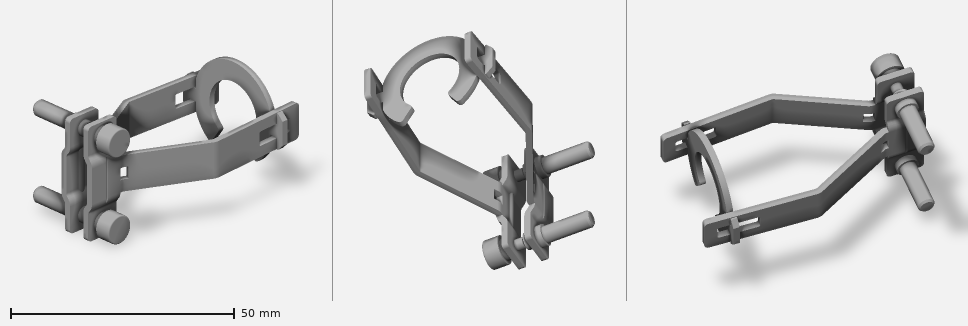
import cadquery as cq
import math

SHEET = 1.55
BEND_INNER = 1.0
BEND_MID = BEND_INNER + SHEET / 2
CORNER = 1.0

JAW_WIDTH = 8.95
JAW_HEIGHT = 28.65
JAW_MID_X = 2.9
JAW_FRONT = -JAW_WIDTH / 2
JAW_BACK = JAW_WIDTH / 2
JAW_INNER = JAW_MID_X - SHEET / 2
JAW_OUTER = JAW_MID_X + SHEET / 2

JOGGLE_ANGLE = 38
JOGGLE_OFFSET = 1.2
WEB_MID_X = JAW_MID_X + JOGGLE_OFFSET
WEB_INNER = JAW_INNER + JOGGLE_OFFSET
WEB_OUTER = JAW_OUTER + JOGGLE_OFFSET

TOTAL_LENGTH = 56.7
ARM_TIP = JAW_FRONT + TOTAL_LENGTH
ARM_HEIGHT = 9.1
FLARE_ANGLE = 27
FLARE_START = 5.05
FLARE_LENGTH = 21.1
TOE_ANGLE = 3

SLOT_LENGTH = 10.15
SLOT_HEIGHT = 3.65
SLOT_CENTRE_X = 13.05
SLOT_CENTRE_Y = 44.1
SLOT_CORNER = 0.5

WINDOW_HEIGHT = 3.0
WINDOW_PAST_BEND = 1.1

BEAD_Y = 0.3
BEAD_LENGTH = ARM_HEIGHT + 2.85
RIDGE_WIDTH = 1.7
RIDGE_RISE = 0.5
GROOVE_RADIUS = 0.3

RING_OUTER = 12.5
RING_INNER = 7.5
RING_FLANK = 11.8
RING_CENTRE_Y = 45.5
MOUTH_HALF_ANGLE = 35
RING_CORNER = 0.85
NECK_HEIGHT = 3.2
TAB_TIP = 15.8
TAB_INNER = 13.95
TAB_HEIGHT = 9.1
TAB_CHAMFER = 1.55

COLLAR_DIAMETER = 5.2
COLLAR_LENGTH = SHEET
COLLAR_OUTER = JAW_OUTER + COLLAR_LENGTH
STUD_DIAMETER = 4.0
STUD_POINT_DIAMETER = 3.25
STUD_POINT_LENGTH = 0.5
STUD_OUTER_END = 16.8
STUD_INNER_END = 0.4

HEAD_DIAMETER = 7.0
HEAD_LENGTH = 3.95
HEAD_FILLET = 0.35
SCREW_TIP_DIAMETER = 2.7
SCREW_TIP_END = 0.05

FASTENER_SPACING = 21.6
FASTENER_HEIGHTS = (FASTENER_SPACING / 2, -FASTENER_SPACING / 2)


def bent_strip(plane, start, heading, steps):
    """Closed outline of a bent sheet. Steps are ("line", length) or ("bend", angle); positive turns left."""
    half = SHEET / 2

    def sides(point, angle):
        nx = -math.sin(math.radians(angle)) * half
        ny = math.cos(math.radians(angle)) * half
        return (point[0] + nx, point[1] + ny), (point[0] - nx, point[1] - ny)

    def arc_after(point, angle, turn):
        chord = 2 * BEND_MID * math.sin(math.radians(abs(turn) / 2))
        direction = math.radians(angle + turn / 2)
        return point[0] + chord * math.cos(direction), point[1] + chord * math.sin(direction)

    point = start
    angle = heading
    first_left, first_right = sides(point, angle)
    left_path = []
    right_path = [(None, first_right)]
    for kind, amount in steps:
        left_middle = None
        right_middle = None
        if kind == "line":
            direction = math.radians(angle)
            point = (point[0] + amount * math.cos(direction), point[1] + amount * math.sin(direction))
        else:
            left_middle, right_middle = sides(arc_after(point, angle, amount / 2), angle + amount / 2)
            point = arc_after(point, angle, amount)
            angle += amount
        left, right = sides(point, angle)
        left_path.append((left_middle, left))
        right_path.append((right_middle, right))

    outline = cq.Workplane(plane).moveTo(*first_left)
    for middle, end in left_path:
        outline = outline.threePointArc(middle, end) if middle else outline.lineTo(*end)
    outline = outline.lineTo(*right_path[-1][1])
    for index in range(len(right_path) - 1, 0, -1):
        middle = right_path[index][0]
        end = right_path[index - 1][1]
        outline = outline.threePointArc(middle, end) if middle else outline.lineTo(*end)
    return outline.close()


def arm_strip():
    flare = math.radians(FLARE_ANGLE)
    toe = math.radians(TOE_ANGLE)
    toe_start = (FLARE_START + FLARE_LENGTH * math.cos(flare)
                 + BEND_MID * (2 * math.sin(flare) + math.sin(toe)))
    toe_length = (ARM_TIP - SHEET / 2 * math.sin(toe) - toe_start) / math.cos(toe)
    steps = [
        ("line", FLARE_START - JAW_FRONT),
        ("bend", -FLARE_ANGLE),
        ("line", FLARE_LENGTH),
        ("bend", FLARE_ANGLE + TOE_ANGLE),
        ("line", toe_length),
    ]
    strip = bent_strip("XY", (WEB_MID_X, JAW_FRONT), 90, steps).extrude(ARM_HEIGHT / 2, both=True)
    tip_corners = strip.faces(">Y").edges(">Z or <Z")
    return tip_corners.fillet(CORNER)


def jaw():
    angle = math.radians(JOGGLE_ANGLE)
    slope = (JOGGLE_OFFSET - 2 * BEND_MID * (1 - math.cos(angle))) / math.sin(angle)
    joggle_rise = 2 * BEND_MID * math.sin(angle) + slope * math.cos(angle)
    ear = (JAW_HEIGHT - ARM_HEIGHT) / 2 - joggle_rise
    outward_joggle = [("bend", -JOGGLE_ANGLE), ("line", slope), ("bend", JOGGLE_ANGLE)]
    inward_joggle = [("bend", JOGGLE_ANGLE), ("line", slope), ("bend", -JOGGLE_ANGLE)]
    steps = [("line", ear), *outward_joggle, ("line", ARM_HEIGHT), *inward_joggle, ("line", ear)]
    plate = bent_strip("XZ", (JAW_MID_X, -JAW_HEIGHT / 2), 90, steps).extrude(JAW_WIDTH / 2, both=True)
    return plate.faces(">Z or <Z").edges("|X").fillet(CORNER)


def bead_ridge():
    """Low round ridge on the inner face; its ends run into the joggles."""
    return (cq.Workplane("XY")
            .moveTo(WEB_INNER, BEAD_Y - RIDGE_WIDTH / 2)
            .threePointArc((WEB_INNER - RIDGE_RISE, BEAD_Y), (WEB_INNER, BEAD_Y + RIDGE_WIDTH / 2))
            .lineTo(WEB_MID_X, BEAD_Y)
            .close()
            .extrude(BEAD_LENGTH / 2, both=True))


def bead_groove():
    return (cq.Workplane("XY")
            .center(WEB_OUTER, BEAD_Y)
            .circle(GROOVE_RADIUS)
            .extrude(BEAD_LENGTH / 2, both=True))


def slot_cutter():
    block = cq.Workplane("XY").box(4 * SHEET, SLOT_LENGTH, SLOT_HEIGHT).edges("|X").fillet(SLOT_CORNER)
    return block.rotate((0, 0, 0), (0, 0, 1), TOE_ANGLE).translate((SLOT_CENTRE_X, SLOT_CENTRE_Y, 0))


def window_cutter():
    """The far wall starts outside the flare and runs inwards, square to the flared sheet."""
    flare = math.radians(FLARE_ANGLE)
    reach = 4 * SHEET
    wall_outer_x = WEB_OUTER + BEND_INNER + WINDOW_PAST_BEND * math.sin(flare)
    wall_outer_y = FLARE_START + WINDOW_PAST_BEND * math.cos(flare)
    wall_inner_x = wall_outer_x - reach * math.cos(flare)
    wall_inner_y = wall_outer_y + reach * math.sin(flare)
    return (cq.Workplane("XY")
            .moveTo(wall_inner_x, JAW_BACK)
            .lineTo(wall_outer_x, JAW_BACK)
            .lineTo(wall_outer_x, wall_outer_y)
            .lineTo(wall_inner_x, wall_inner_y)
            .close()
            .extrude(WINDOW_HEIGHT / 2, both=True))


def arm_blank():
    """Arm on the +X side, without its fastener holes."""
    arm = jaw().union(arm_strip()).union(bead_ridge())
    return arm.cut(bead_groove()).cut(slot_cutter()).cut(window_cutter())


def x_cylinder(diameter, x_start, x_end, z):
    return cq.Workplane("YZ", origin=(x_start, 0, z)).circle(diameter / 2).extrude(x_end - x_start)


def stud(z):
    shank = x_cylinder(STUD_DIAMETER, STUD_INNER_END, STUD_OUTER_END, z)
    point_step = (STUD_DIAMETER - STUD_POINT_DIAMETER) / 2
    shank = shank.faces(">X").chamfer(STUD_POINT_LENGTH, point_step)
    collar = x_cylinder(COLLAR_DIAMETER, JAW_OUTER, COLLAR_OUTER, z)
    return shank.union(collar)


def stud_arm():
    """Left arm: a mirrored blank with both studs as part of it."""
    arm = arm_blank()
    for z in FASTENER_HEIGHTS:
        arm = arm.union(stud(z))
    return arm.mirror("YZ")


def screw_arm():
    """Right arm: a blank with a hole for each screw tip."""
    arm = arm_blank()
    for z in FASTENER_HEIGHTS:
        arm = arm.cut(x_cylinder(SCREW_TIP_DIAMETER, JAW_INNER, JAW_OUTER, z))
    return arm


def screw(z):
    head = x_cylinder(HEAD_DIAMETER, COLLAR_OUTER, COLLAR_OUTER + HEAD_LENGTH, z)
    head = head.faces(">X").edges().fillet(HEAD_FILLET)
    collar = x_cylinder(COLLAR_DIAMETER, JAW_OUTER, COLLAR_OUTER, z)
    tip = x_cylinder(SCREW_TIP_DIAMETER, SCREW_TIP_END, JAW_OUTER, z)
    return head.union(collar).union(tip)


def open_ring():
    """Ring with flat flanks and a radial-sided mouth at the bottom, its four end corners rounded."""
    ring = cq.Workplane("XZ").circle(RING_OUTER).circle(RING_INNER).extrude(SHEET / 2, both=True)
    ring = ring.intersect(cq.Workplane("XY").box(2 * RING_FLANK, SHEET, 2 * RING_OUTER))
    half_angle = math.radians(MOUTH_HALF_ANGLE)
    depth = 2 * RING_OUTER
    spread = depth * math.tan(half_angle)
    mouth = (cq.Workplane("XZ")
             .polyline([(0, 0), (spread, -depth), (-spread, -depth)])
             .close()
             .extrude(SHEET, both=True))
    mouth_zone = cq.selectors.BoxSelector(
        (-RING_INNER, -SHEET, -RING_OUTER), (RING_INNER, SHEET, -RING_INNER / 2))
    return ring.cut(mouth).edges("|Y").edges(mouth_zone).fillet(RING_CORNER)


def tab():
    """T-shaped tab on the +X side: a neck through the slot and a chamfered head outside the arm."""
    neck_start = (RING_INNER + RING_FLANK) / 2
    neck_length = TAB_TIP - neck_start
    neck = (cq.Workplane("XY")
            .box(neck_length, SHEET, NECK_HEIGHT)
            .translate((neck_start + neck_length / 2, 0, 0)))
    head_width = TAB_TIP - TAB_INNER
    head = (cq.Workplane("XY")
            .box(head_width, SHEET, TAB_HEIGHT)
            .translate((TAB_INNER + head_width / 2, 0, 0))
            .faces(">X").edges("|Y").chamfer(TAB_CHAMFER))
    return neck.union(head)


def hook_ring():
    ring = open_ring().union(tab()).union(tab().mirror("YZ"))
    return ring.translate((0, RING_CENTRE_Y, 0))


left_arm = stud_arm()
right_arm = screw_arm()
hook = hook_ring()
screws = [screw(z) for z in FASTENER_HEIGHTS]

result = cq.Compound.makeCompound(
    [left_arm.val(), right_arm.val(), hook.val(), *[item.val() for item in screws]])